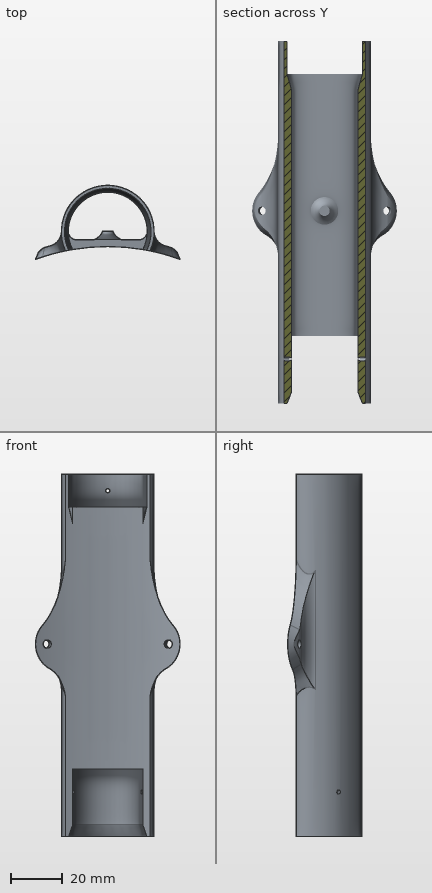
import cadquery as cq
import math

length = 139.7
outer_radius = 17.9
bore_radius = 15.2
socket_radius = 16.7

saddle_radius = 81.0
saddle_crown_y = -5.8

socket_depth = 12.7
socket_cone_length = 6.35

lead_in_length = 4.6

web_bottom_z = 26.0
web_top_z = length - socket_depth
web_inner_y = -3.1
web_fillet = 3.2

wing_z = 74.2
wing_tip_x = 27.9
wing_tip_y = -10.8
wing_root_x = 14.5
wing_draft = 4.2
base_tip_radius = 13.0
base_side_x = 15.5
base_rise = 37.0
base_drop = 22.3
crest_tip_radius = base_tip_radius - wing_draft
crest_tip_x = wing_tip_x - wing_draft
crest_side_x = 17.3
crest_rise = 40.5
crest_drop = 24.5

neck_x = 19.3
neck_y = -3.7
pad_start_x = 22.0
pad_start_y = -5.4
pad_end_x = 24.3
tip_round_x = 26.4
tip_round_y = -7.6
screw_diameter = 3.2
screw_x = 23.3

boss_top_radius = 2.0
boss_base_radius = 5.3
boss_height = 3.3
boss_mid_radius = 3.0

pin_diameter = 1.5
upper_pin_depth = 6.35
upper_pin_angle = 90.0
lower_pin_z = 17.2
lower_pin_angles = (30.0, 150.0)

upper_pin_z = length - upper_pin_depth
screw_angle = math.degrees(math.acos(screw_x / saddle_radius))
saddle_center_y = saddle_crown_y - saddle_radius
cut_margin = 1.0


def cylinder(radius, bottom, top):
    return cq.Workplane("XY").workplane(offset=bottom).circle(radius).extrude(top - bottom)


def cone(bottom_radius, top_radius, bottom, top):
    solid = cq.Solid.makeCone(bottom_radius, top_radius, top - bottom, cq.Vector(0, 0, bottom))
    return cq.Workplane(obj=solid)


def make_saddle():
    return cylinder(saddle_radius, -cut_margin, length + cut_margin).translate((0, saddle_center_y, 0))


def make_bore():
    """Stepped bore: lead-in cone, through bore, transition cone and socket."""
    bore = cylinder(bore_radius, -cut_margin, length)
    bore = bore.union(cone(socket_radius, bore_radius, 0, lead_in_length))
    bore = bore.union(cone(bore_radius, socket_radius, web_top_z - socket_cone_length, web_top_z))
    return bore.union(cylinder(socket_radius, web_top_z, length + cut_margin))


def make_web():
    """Segment of the bore between the saddle and the filleted inner flat."""
    web_length = web_top_z - web_bottom_z
    passage = (
        cylinder(bore_radius, web_bottom_z, web_top_z)
        .intersect(
            cq.Workplane("XY")
            .box(2 * outer_radius, 2 * outer_radius, web_length, centered=(True, False, False))
            .translate((0, web_inner_y, web_bottom_z))
        )
        .edges("|Z and <Y")
        .fillet(web_fillet)
    )
    return cylinder(bore_radius, web_bottom_z, web_top_z).cut(passage)


def make_boss():
    """Flared round boss standing on the web, level with the screw holes."""
    return (
        cq.Workplane("XY")
        .moveTo(0, web_inner_y - cut_margin)
        .lineTo(boss_base_radius, web_inner_y - cut_margin)
        .lineTo(boss_base_radius, web_inner_y)
        .threePointArc(
            (boss_mid_radius, web_inner_y + boss_height / 2),
            (boss_top_radius, web_inner_y + boss_height),
        )
        .lineTo(0, web_inner_y + boss_height)
        .close()
        .revolve(360, (0, 0, 0), (0, 1, 0))
        .translate((0, 0, wing_z))
    )


def wing_outline(y, tip_radius, tip_x, side_x, rise, drop):
    """Wire in the plane at height y: round tip with concave flanks tangent to the line x = side_x."""
    tip_center_x = tip_x - tip_radius
    offset = side_x - tip_center_x

    def flank(reach, sign):
        radius = (offset**2 + reach**2 - tip_radius**2) / (2 * (tip_radius - offset))
        angle = math.atan2(reach, offset + radius)
        center_x = side_x + radius
        center_z = wing_z + sign * reach

        def flank_point(turn):
            return cq.Vector(center_x - radius * math.cos(turn), y, center_z - sign * radius * math.sin(turn))

        return [flank_point(0), flank_point(angle / 2), flank_point(angle)]

    upper = flank(rise, 1)
    lower = flank(drop, -1)
    lower_root = cq.Vector(wing_root_x, y, wing_z - drop)
    upper_root = cq.Vector(wing_root_x, y, wing_z + rise)
    return cq.Wire.assembleEdges([
        cq.Edge.makeThreePointArc(*upper),
        cq.Edge.makeThreePointArc(upper[2], cq.Vector(tip_x, y, wing_z), lower[2]),
        cq.Edge.makeThreePointArc(lower[2], lower[1], lower[0]),
        cq.Edge.makeLine(lower[0], lower_root),
        cq.Edge.makeLine(lower_root, upper_root),
        cq.Edge.makeLine(upper_root, upper[0]),
    ])


def make_wing():
    """Wing on the +X side: drafted outline, trimmed from above by a concave neck and a flat pad."""
    base = wing_outline(wing_tip_y, base_tip_radius, wing_tip_x, base_side_x, base_rise, base_drop)
    crest = wing_outline(0, crest_tip_radius, crest_tip_x, crest_side_x, crest_rise, crest_drop)
    drafted = cq.Workplane(obj=cq.Solid.makeLoft([base, crest], True))

    pad_slope = screw_x / saddle_radius
    pad_end_y = pad_start_y - pad_slope * (pad_end_x - pad_start_x)
    profile = (
        cq.Workplane("XY")
        .moveTo(0, 0)
        .lineTo(outer_radius, 0)
        .threePointArc((neck_x, neck_y), (pad_start_x, pad_start_y))
        .lineTo(pad_end_x, pad_end_y)
        .threePointArc((tip_round_x, tip_round_y), (wing_tip_x, wing_tip_y))
        .lineTo(wing_tip_x, wing_tip_y - cut_margin)
        .lineTo(0, wing_tip_y - cut_margin)
        .close()
        .extrude(length)
    )
    return drafted.intersect(profile)


def radial_hole(diameter, reach, angle, z, center_y=0.0):
    """Hole along a ray from (0, center_y), at the given angle in degrees from +X."""
    turn = math.radians(angle)
    direction = cq.Vector(math.cos(turn), math.sin(turn), 0)
    start = cq.Vector(0, center_y, z)
    return cq.Workplane(obj=cq.Solid.makeCylinder(diameter / 2, reach, start, direction))


def cut_pin_holes(body):
    """One pin hole through the upper socket wall and two through the lower tube wall."""
    reach = outer_radius + cut_margin
    body = body.cut(radial_hole(pin_diameter, reach, upper_pin_angle, upper_pin_z))
    for angle in lower_pin_angles:
        body = body.cut(radial_hole(pin_diameter, reach, angle, lower_pin_z))
    return body


def cut_screw_holes(body):
    """Screw holes through both wings, square to the saddle face."""
    reach = saddle_radius + outer_radius
    for angle in (screw_angle, 180 - screw_angle):
        body = body.cut(radial_hole(screw_diameter, reach, angle, wing_z, saddle_center_y))
    return body


shell = cylinder(outer_radius, 0, length).rotate((0, 0, 0), (0, 0, 1), 90)
wing = make_wing()
body = shell.union(wing).union(wing.mirror("YZ"))
body = body.cut(make_bore())
body = body.union(make_web()).union(make_boss())
body = body.cut(make_saddle())
body = cut_pin_holes(body)
body = cut_screw_holes(body)

result = body